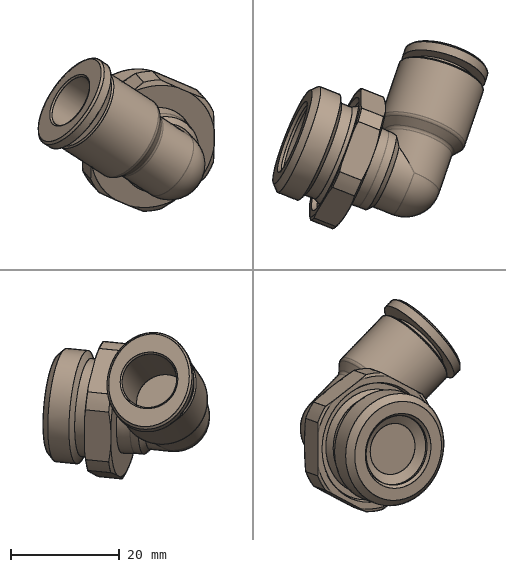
import cadquery as cq
import math

THREAD_R = 20.95 / 2
THREAD_CHAMFER = 1.22
THREAD_END_X = 5.22
RELIEF_R = 18.2 / 2
RELIEF_START_X = 5.95
RELIEF_END_X = 8.07

SOCKET_R = 13.0 / 2
SOCKET_MOUTH_R = 7.0
SOCKET_CHAMFER_X = 0.55
SOCKET_WALL_END_X = 1.05
SOCKET_FLOOR_R = 4.78
SOCKET_FLOOR_X = 2.0

HEX_START_X = 8.55
HEX_END_X = 13.52
HEX_SIDES = 6
HEX_FLATS = 24.0
HEX_CORNER_R = 13.0
HEX_START_FACE_R = 12.45
HEX_START_CHAMFER_X = 0.2
HEX_END_FACE_R = 12.08
HEX_END_CHAMFER_X = 0.4
SEAL_MOUTH_R = 11.2
SEAL_FLOOR_R = 10.93
SEAL_RECESS_DEPTH = 1.0
SEAL_FLOOR_X = HEX_START_X + SEAL_RECESS_DEPTH
SEAL_ROOT_R = 9.78

COLLAR_R = 15.0 / 2
COLLAR_ROOT_R = 7.7
COLLAR_TAPER_END_X = 16.05
COLLAR_CHAMFER_START_X = 17.6

ELBOW_R = 13.0 / 2
ELBOW_X = 22.6
COLLAR_END_X = COLLAR_CHAMFER_START_X + COLLAR_R - ELBOW_R
BRANCH_TILT = 38.7
X_AXIS = cq.Vector(1, 0, 0)
ELBOW_CENTRE = X_AXIS * ELBOW_X
OUTWARD = cq.Vector(0, -math.cos(math.radians(BRANCH_TILT)), math.sin(math.radians(BRANCH_TILT)))
SLEEVE_R = 16.3 / 2
SLEEVE_START = 10.35
SHOULDER_SLOPE = 40.0
SHOULDER_FILLET = 1.0
SLEEVE_END = 21.78
SLEEVE_CHAMFER = 0.3

RING_NECK_R = 11.7 / 2
RING_START = 10.37
FLANGE_START = 22.9
RING_END = 25.0
FLANGE_WIDTH_X = 15.8
FLANGE_HEIGHT = 18.5
FLANGE_CHAMFER = 0.4
BORE_R = 10.2 / 2
BORE_CHAMFER = 0.3


def turned(profile):
    """Solid of revolution about X from (x, radius) points that run between two axis points."""
    return cq.Workplane("XY").polyline(profile).close().revolve(360, (0, 0, 0), (1, 0, 0))


def branch_plane(distance):
    """Plane across the branch axis; its x axis is the part's X, its normal points outward."""
    origin = ELBOW_CENTRE + OUTWARD * distance
    return cq.Workplane(cq.Plane(origin=origin, xDir=X_AXIS, normal=OUTWARD))


def make_stud():
    """Threaded end with its relief groove, running to the floor of the seal recess."""
    return turned([
        (0, 0),
        (0, THREAD_R - THREAD_CHAMFER),
        (THREAD_CHAMFER, THREAD_R),
        (THREAD_END_X, THREAD_R),
        (RELIEF_START_X, RELIEF_R),
        (RELIEF_END_X, RELIEF_R),
        (SEAL_FLOOR_X, SEAL_ROOT_R),
        (SEAL_FLOOR_X, 0),
    ])


def make_socket():
    """Blind socket: chamfered mouth, short straight wall, cone down to a flat floor."""
    return turned([
        (0, 0),
        (0, SOCKET_MOUTH_R),
        (SOCKET_CHAMFER_X, SOCKET_R),
        (SOCKET_WALL_END_X, SOCKET_R),
        (SOCKET_FLOOR_X, SOCKET_FLOOR_R),
        (SOCKET_FLOOR_X, 0),
    ])


def make_hexagon():
    """Hexagon with two flats square to Y, trimmed to round chamfered corners, seal recess cut."""
    across_corners = HEX_FLATS / math.cos(math.pi / HEX_SIDES)
    prism = (
        cq.Workplane("YZ", origin=(HEX_START_X, 0, 0))
        .transformed(rotate=(0, 0, 90))
        .polygon(HEX_SIDES, across_corners)
        .extrude(HEX_END_X - HEX_START_X)
    )
    corner_envelope = turned([
        (HEX_START_X, 0),
        (HEX_START_X, HEX_START_FACE_R),
        (HEX_START_X + HEX_START_CHAMFER_X, HEX_CORNER_R),
        (HEX_END_X - HEX_END_CHAMFER_X, HEX_CORNER_R),
        (HEX_END_X, HEX_END_FACE_R),
        (HEX_END_X, 0),
    ])
    seal_recess = turned([
        (HEX_START_X, 0),
        (HEX_START_X, SEAL_MOUTH_R),
        (SEAL_FLOOR_X, SEAL_FLOOR_R),
        (SEAL_FLOOR_X, 0),
    ])
    return prism.intersect(corner_envelope).cut(seal_recess)


def make_collar_and_run():
    """Tapered collar behind the hexagon, then the straight run of the elbow."""
    return turned([
        (HEX_END_X, 0),
        (HEX_END_X, COLLAR_ROOT_R),
        (COLLAR_TAPER_END_X, COLLAR_R),
        (COLLAR_CHAMFER_START_X, COLLAR_R),
        (COLLAR_END_X, ELBOW_R),
        (ELBOW_X, ELBOW_R),
        (ELBOW_X, 0),
    ])


def make_branch():
    """Ball corner, then the branch tube widening over a smooth shoulder to the sleeve."""
    slope = math.radians(SHOULDER_SLOPE)
    fillet_length = SHOULDER_FILLET * math.sin(slope)
    fillet_rise = SHOULDER_FILLET * (1 - math.cos(slope))
    cone_rise = SLEEVE_R - ELBOW_R - 2 * fillet_rise
    cone_end = SLEEVE_START - fillet_length
    cone_start = cone_end - cone_rise / math.tan(slope)
    tube_end = cone_start - fillet_length

    axis_section = cq.Plane(origin=ELBOW_CENTRE, xDir=X_AXIS, normal=X_AXIS.cross(OUTWARD))
    tube_and_sleeve = (
        cq.Workplane(axis_section)
        .lineTo(ELBOW_R, 0)
        .lineTo(ELBOW_R, tube_end)
        .tangentArcPoint((ELBOW_R + fillet_rise, cone_start), relative=False)
        .lineTo(SLEEVE_R - fillet_rise, cone_end)
        .tangentArcPoint((SLEEVE_R, SLEEVE_START), relative=False)
        .lineTo(SLEEVE_R, SLEEVE_END - SLEEVE_CHAMFER)
        .lineTo(SLEEVE_R - SLEEVE_CHAMFER, SLEEVE_END)
        .lineTo(0, SLEEVE_END)
        .close()
        .revolve(360, (0, 0, 0), (0, 1, 0))
    )
    ball = cq.Workplane("XY", origin=ELBOW_CENTRE.toTuple()).sphere(ELBOW_R)
    return ball.union(tube_and_sleeve)


def make_housing():
    ring_seat = branch_plane(RING_START).circle(RING_NECK_R).extrude(SLEEVE_END - RING_START)
    return (
        make_stud()
        .union(make_hexagon())
        .union(make_collar_and_run())
        .union(make_branch())
        .cut(make_socket())
        .cut(ring_seat)
    )


def make_release_ring():
    """Tube seated in the sleeve, with an oval flange outside it."""
    neck = branch_plane(RING_START).circle(RING_NECK_R).extrude(FLANGE_START - RING_START)
    flange = (
        branch_plane(FLANGE_START)
        .ellipse(FLANGE_WIDTH_X / 2, FLANGE_HEIGHT / 2)
        .extrude(RING_END - FLANGE_START)
        .faces(cq.selectors.DirectionMinMaxSelector(OUTWARD))
        .edges()
        .chamfer(FLANGE_CHAMFER)
    )
    bore = branch_plane(RING_START).circle(BORE_R).extrude(RING_END - RING_START)
    mouth = (
        branch_plane(RING_END)
        .circle(BORE_R + BORE_CHAMFER)
        .workplane(offset=-BORE_CHAMFER)
        .circle(BORE_R)
        .loft()
    )
    return neck.union(flange).cut(bore).cut(mouth)


housing = make_housing()
release_ring = make_release_ring()

result = cq.Compound.makeCompound([housing.val(), release_ring.val()])